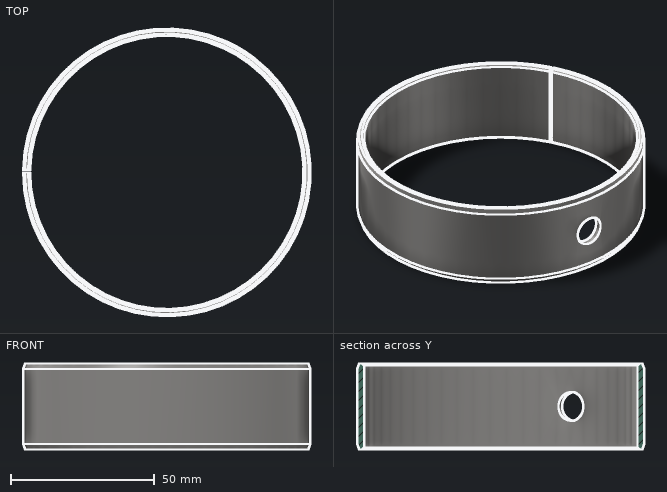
import cadquery as cq

outer_diameter = 100.0
wall = 2.5
width = 30.0
slit_angle = 1.0
hole_diameter = 10.0
hole_angle = 59.0

outer_chamfer_height = 2.0
outer_chamfer_depth = 0.7
inner_chamfer = 0.8

outer_radius = outer_diameter / 2
inner_radius = outer_radius - wall
half_width = width / 2


def split_ring():
    """Revolve the chamfered wall section around Z, leaving the slit open at -X."""
    face_outer = outer_radius - outer_chamfer_depth
    face_inner = inner_radius + inner_chamfer
    outer_edge = half_width - outer_chamfer_height
    inner_edge = half_width - inner_chamfer
    section = [
        (face_inner, -half_width),
        (face_outer, -half_width),
        (outer_radius, -outer_edge),
        (outer_radius, outer_edge),
        (face_outer, half_width),
        (face_inner, half_width),
        (inner_radius, inner_edge),
        (inner_radius, -inner_edge),
    ]
    profile = cq.Workplane("XZ").polyline(section).close()
    band = profile.revolve(360 - slit_angle, (0, 0), (0, 1))
    return band.rotate((0, 0, 0), (0, 0, 1), 180)


def radial_hole():
    """Round hole through the wall at mid width, at the hole angle."""
    bore = cq.Workplane("YZ").circle(hole_diameter / 2).extrude(outer_diameter)
    return bore.rotate((0, 0, 0), (0, 0, 1), hole_angle)


result = split_ring().cut(radial_hole())